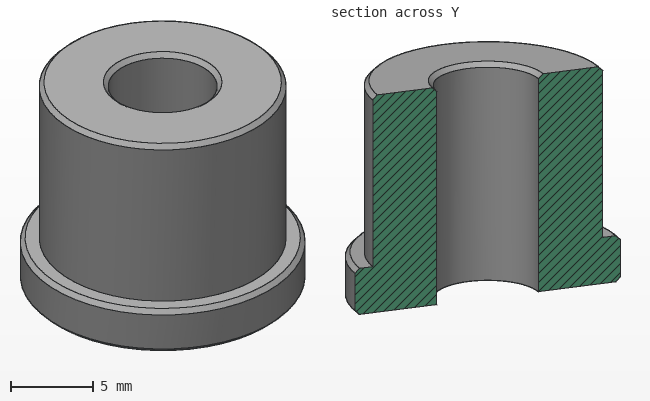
import cadquery as cq

flange_diameter = 17.3
flange_height = 3.0
body_diameter = 15.0
total_height = 14.0
bore_diameter = 6.6
edge_chamfer = 0.3


def cylinder(diameter, height):
    """Upright cylinder on the XY plane."""
    return cq.Workplane("XY").circle(diameter / 2).extrude(height)


flange = cylinder(flange_diameter, flange_height).edges().chamfer(edge_chamfer)

body = cylinder(body_diameter, total_height).edges(">Z").chamfer(edge_chamfer)

bore = cylinder(bore_diameter, total_height)
bore_mouth = (
    cq.Workplane("XY", origin=(0, 0, total_height))
    .circle(bore_diameter / 2 + edge_chamfer)
    .workplane(offset=-edge_chamfer)
    .circle(bore_diameter / 2)
    .loft(ruled=True)
)

result = flange.union(body).cut(bore).cut(bore_mouth)